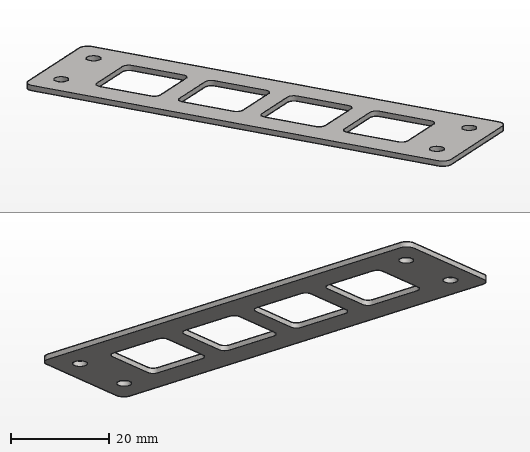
import cadquery as cq

length = 97.75
width = 26.0
thickness = 1.2
corner_radius = 2.0

hole_diameter = 3.0
hole_spacing_x = 86.8
hole_spacing_y = 14.0

window_count = 4
window_pitch = 19.1
window_length = 14.7
window_width = 14.0
window_radius = 1.5


def make_plate():
    plate = cq.Workplane("XY").box(length, width, thickness)
    return plate.edges("|Z").fillet(corner_radius)


def make_holes():
    return (
        cq.Workplane("XY")
        .rect(hole_spacing_x, hole_spacing_y, forConstruction=True)
        .vertices()
        .circle(hole_diameter / 2)
        .extrude(thickness, both=True)
    )


def make_windows():
    return (
        cq.Workplane("XY")
        .rarray(window_pitch, 1, window_count, 1)
        .rect(window_length, window_width)
        .extrude(thickness, both=True)
        .edges("|Z")
        .fillet(window_radius)
    )


result = make_plate().cut(make_holes()).cut(make_windows())